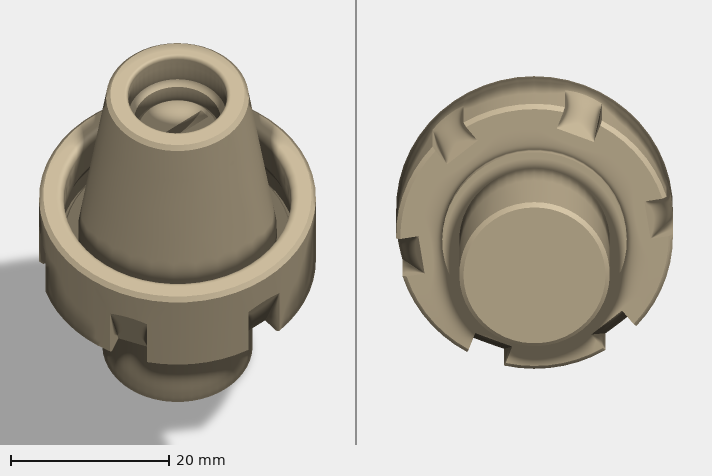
import cadquery as cq
import math

height = 49.0
flange_bottom_z = 15.15
nut_bottom_z = 16.45
floor_z = 21.5
notch_top_z = 24.8
nut_top_z = 29.55

shank_radius = 9.5
flange_radius = 11.65
flange_flat_x = 10.05
nut_radius = 17.5
nut_bore_radius = 14.35
nut_mouth_radius = 15.3
edge_chamfer = 0.55

undercut_top_z = 24.55
undercut_radius = 14.95
undercut_angle = 20.0
floor_radius = 14.45
floor_chamfer = 0.2
floor_gap_depth = 1.0

cone_angle = 8.0
cone_top_radius = 9.0
cone_base_radius = 12.55

bore_radius = 12.5 / 2
bore_fillet = 0.5
bore_step_z = 44.7
screw_bore_radius = 10.95 / 2
screw_bore_z = 44.1
screw_top_z = 42.05
screw_top_radius = 5.0
slot_width = 1.35
slot_length = 8.9
slot_depth = 1.95

notch_count = 6
notch_width = 5.0
notch_angle = 20.0


def make_body():
    """Turn the shank, flange, nut and cone from one half section."""
    nut_fillet = nut_mouth_radius - nut_bore_radius
    undercut_height = (undercut_radius - nut_bore_radius) / math.tan(math.radians(undercut_angle))
    cone_top_z = height - edge_chamfer
    cone_height = (cone_base_radius - cone_top_radius) / math.tan(math.radians(cone_angle))
    screw_chamfer = screw_bore_radius - screw_top_radius
    half_section = (
        cq.Workplane("XZ")
        .lineTo(shank_radius - edge_chamfer, 0)
        .lineTo(shank_radius, edge_chamfer)
        .lineTo(shank_radius, flange_bottom_z)
        .lineTo(flange_radius, flange_bottom_z)
        .lineTo(flange_radius, nut_bottom_z)
        .lineTo(nut_radius - edge_chamfer, nut_bottom_z)
        .lineTo(nut_radius, nut_bottom_z + edge_chamfer)
        .lineTo(nut_radius, nut_top_z - edge_chamfer)
        .lineTo(nut_radius - edge_chamfer, nut_top_z)
        .lineTo(nut_mouth_radius, nut_top_z)
        .radiusArc((nut_bore_radius, nut_top_z - nut_fillet), -nut_fillet)
        .lineTo(nut_bore_radius, undercut_top_z)
        .lineTo(undercut_radius, undercut_top_z - undercut_height)
        .lineTo(undercut_radius, floor_z - floor_gap_depth)
        .lineTo(floor_radius, floor_z - floor_gap_depth)
        .lineTo(floor_radius, floor_z - floor_chamfer)
        .lineTo(floor_radius - floor_chamfer, floor_z)
        .lineTo(cone_base_radius, floor_z)
        .lineTo(cone_base_radius, cone_top_z - cone_height)
        .lineTo(cone_top_radius, cone_top_z)
        .lineTo(cone_top_radius - edge_chamfer, height)
        .lineTo(bore_radius + bore_fillet, height)
        .radiusArc((bore_radius, height - bore_fillet), -bore_fillet)
        .lineTo(bore_radius, bore_step_z)
        .lineTo(screw_bore_radius, screw_bore_z)
        .lineTo(screw_bore_radius, screw_top_z - screw_chamfer)
        .lineTo(screw_top_radius, screw_top_z)
        .lineTo(0, screw_top_z)
        .close()
    )
    return half_section.revolve(360, (0, 0, 0), (0, 1, 0))


def make_flange_flat():
    """Make the block that trims the +X side of the flange below the nut."""
    flange_height = nut_bottom_z - flange_bottom_z
    return (
        cq.Workplane("XY", origin=(flange_flat_x + flange_radius / 2, 0, flange_bottom_z))
        .rect(flange_radius, 2 * flange_radius)
        .extrude(flange_height)
    )


def make_notch(angle):
    """Make a wedge that deepens toward the nut bottom, turned to the given angle."""
    notch_depth = (notch_top_z - nut_bottom_z) * math.tan(math.radians(notch_angle))
    wedge = (
        cq.Workplane("XZ")
        .moveTo(nut_radius, notch_top_z)
        .lineTo(nut_radius, nut_bottom_z)
        .lineTo(nut_radius - notch_depth, nut_bottom_z)
        .close()
        .extrude(notch_width / 2, both=True)
    )
    return wedge.rotate((0, 0, 0), (0, 0, 1), angle)


def make_screw_slot():
    """Make the screwdriver slot along Y with an arched bottom."""
    return (
        cq.Workplane("YZ")
        .moveTo(-slot_length / 2, screw_top_z)
        .threePointArc((0, screw_top_z - slot_depth), (slot_length / 2, screw_top_z))
        .close()
        .extrude(slot_width / 2, both=True)
    )


result = make_body().cut(make_flange_flat()).cut(make_screw_slot())
for index in range(notch_count):
    result = result.cut(make_notch(index * 360 / notch_count))